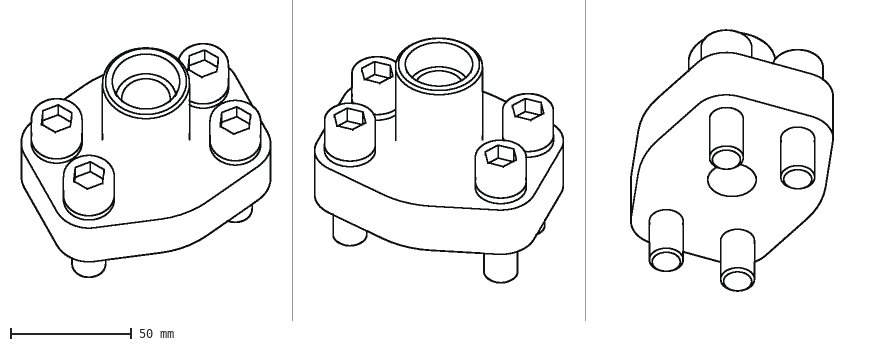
import cadquery as cq
import math

PLATE_LENGTH_X = 78.0
PLATE_LENGTH_Y = 96.0
PLATE_THICKNESS = 24.0

BOLT_SPACING_X = 31.8
BOLT_SPACING_Y = 66.7

SHANK_DIAMETER = 14.0
SHANK_PROJECTION = 23.0
SHANK_TIP_CHAMFER = 1.2
WASHER_DIAMETER = 21.1
WASHER_THICKNESS = 3.0
HEAD_DIAMETER = 21.0
HEAD_HEIGHT = 14.0
HEAD_EDGE_RADIUS = 0.7
SOCKET_ACROSS_FLATS = 12.0
SOCKET_DEPTH = 7.0

STUB_DIAMETER = 36.0
STUB_HEIGHT = 44.0
STUB_RIM_CHAMFER = 1.25
STUB_ROOT_RADIUS = 3.33

MOUTH_DIAMETER = 27.9
CONE_HALF_ANGLE = 12.0
SEAT_DIAMETER = 25.0
SEAT_DEPTH = 12.0
BORE_DIAMETER = 20.0

STUB_TOP = PLATE_THICKNESS + STUB_HEIGHT


def make_plate():
    """Plate outlined by a central circle and four bolt-centred corner arcs, joined by tangents."""
    side_radius = PLATE_LENGTH_X / 2
    half_length = PLATE_LENGTH_Y / 2
    bolt_x = BOLT_SPACING_X / 2
    bolt_y = BOLT_SPACING_Y / 2
    corner_radius = half_length - bolt_y

    tangent_angle = math.atan2(bolt_y, bolt_x) - math.acos(
        (side_radius - corner_radius) / math.hypot(bolt_x, bolt_y)
    )
    corner_mid_angle = (tangent_angle + math.pi / 2) / 2

    def corner_point(angle):
        return (
            bolt_x + corner_radius * math.cos(angle),
            bolt_y + corner_radius * math.sin(angle),
        )

    def flipped(point, sign_x, sign_y):
        return (sign_x * point[0], sign_y * point[1])

    side_end = (side_radius * math.cos(tangent_angle), side_radius * math.sin(tangent_angle))
    corner_start = corner_point(tangent_angle)
    corner_mid = corner_point(corner_mid_angle)
    corner_end = (bolt_x, half_length)

    outline = cq.Workplane("XY").moveTo(*flipped(side_end, 1, -1))
    for sign in (1, -1):
        outline = (
            outline.threePointArc((sign * side_radius, 0), flipped(side_end, sign, sign))
            .lineTo(*flipped(corner_start, sign, sign))
            .threePointArc(flipped(corner_mid, sign, sign), flipped(corner_end, sign, sign))
            .lineTo(*flipped(corner_end, -sign, sign))
            .threePointArc(flipped(corner_mid, -sign, sign), flipped(corner_start, -sign, sign))
            .lineTo(*flipped(side_end, -sign, sign))
        )
    return outline.close().extrude(PLATE_THICKNESS)


def make_stub():
    """Solid pipe stub with a chamfered rim and a concave flare where it meets the plate."""
    radius = STUB_DIAMETER / 2
    root_arc_offset = STUB_ROOT_RADIUS * (1 - math.sqrt(0.5))
    return (
        cq.Workplane("XZ")
        .moveTo(0, PLATE_THICKNESS)
        .lineTo(radius + STUB_ROOT_RADIUS, PLATE_THICKNESS)
        .threePointArc(
            (radius + root_arc_offset, PLATE_THICKNESS + root_arc_offset),
            (radius, PLATE_THICKNESS + STUB_ROOT_RADIUS),
        )
        .lineTo(radius, STUB_TOP - STUB_RIM_CHAMFER)
        .lineTo(radius - STUB_RIM_CHAMFER, STUB_TOP)
        .lineTo(0, STUB_TOP)
        .close()
        .revolve(360, (0, 0, 0), (0, 1, 0))
    )


def make_bore():
    """Material removed along the axis: conical mouth, tube seat and through bore."""
    mouth_radius = MOUTH_DIAMETER / 2
    seat_radius = SEAT_DIAMETER / 2
    bore_radius = BORE_DIAMETER / 2
    cone_depth = (mouth_radius - seat_radius) / math.tan(math.radians(CONE_HALF_ANGLE))
    return (
        cq.Workplane("XZ")
        .moveTo(0, 0)
        .lineTo(bore_radius, 0)
        .lineTo(bore_radius, STUB_TOP - SEAT_DEPTH)
        .lineTo(seat_radius, STUB_TOP - SEAT_DEPTH)
        .lineTo(seat_radius, STUB_TOP - cone_depth)
        .lineTo(mouth_radius, STUB_TOP)
        .lineTo(0, STUB_TOP)
        .close()
        .revolve(360, (0, 0, 0), (0, 1, 0))
    )


def make_bolt():
    """Socket head bolt with its washer, on the Z axis at its height in the plate."""
    head_base = PLATE_THICKNESS + WASHER_THICKNESS
    shank = (
        cq.Workplane("XY")
        .workplane(offset=-SHANK_PROJECTION)
        .circle(SHANK_DIAMETER / 2)
        .extrude(SHANK_PROJECTION + head_base)
        .faces("<Z")
        .chamfer(SHANK_TIP_CHAMFER)
    )
    washer = (
        cq.Workplane("XY")
        .workplane(offset=PLATE_THICKNESS)
        .circle(WASHER_DIAMETER / 2)
        .extrude(WASHER_THICKNESS)
    )
    head = (
        cq.Workplane("XY")
        .workplane(offset=head_base)
        .circle(HEAD_DIAMETER / 2)
        .extrude(HEAD_HEIGHT)
        .faces(">Z")
        .fillet(HEAD_EDGE_RADIUS)
    )
    socket = (
        cq.Workplane("XY")
        .workplane(offset=head_base + HEAD_HEIGHT - SOCKET_DEPTH)
        .polygon(6, SOCKET_ACROSS_FLATS, circumscribed=True)
        .extrude(SOCKET_DEPTH)
    )
    return shank.union(washer).union(head).cut(socket)


def build_part():
    part = make_plate().union(make_stub()).cut(make_bore())
    bolt = make_bolt()
    for sign_x in (1, -1):
        for sign_y in (1, -1):
            position = (sign_x * BOLT_SPACING_X / 2, sign_y * BOLT_SPACING_Y / 2, 0)
            part = part.union(bolt.translate(position))
    return part


result = build_part()